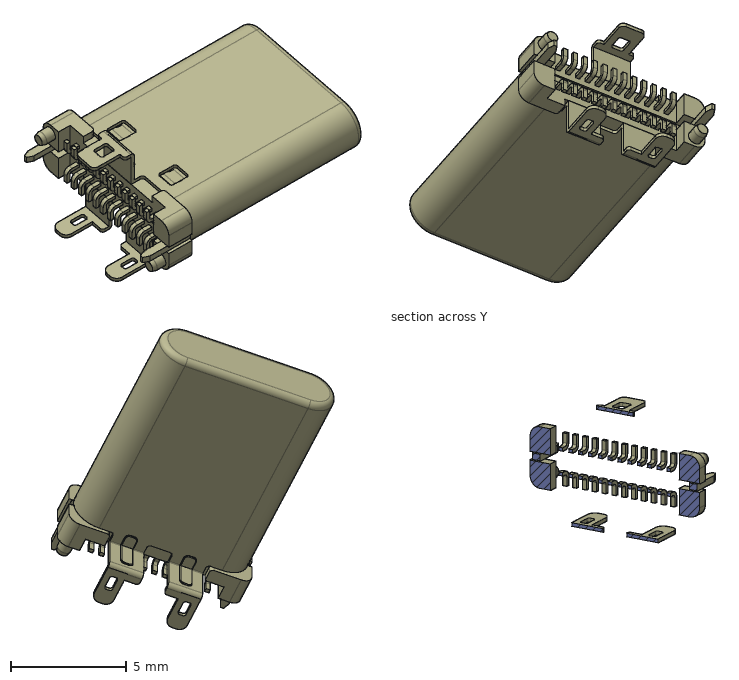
import cadquery as cq


shell_length = 9.78
shell_width = 8.24
shell_half_height = 1.21
shell_wall = 0.17
mouth_fillet = 0.28

window_width = 0.93
window_near_y = 0.52
window_far_y = 1.52
window_corner = 0.12
window_x = 1.78
tooth_width = 0.79
tooth_near_y = 0.58
tooth_flat_end_y = 0.78
tooth_far_y = 1.36
tooth_rise = 0.11

housing_width = 8.66
housing_half_height = 1.42
housing_corner = 0.52
housing_depth = 1.31
rail_depth = 0.65
foot_inner_x = 3.27
recess_half_width = 2.37
recess_corner = 0.16
rail_half_height = shell_half_height - shell_wall

slot_height = 0.38
slot_floor_y = -0.58
blade_thickness = 0.32
blade_inner_x = 3.79
blade_outer_x = 4.2
blade_taper = 0.31
blade_tip_width = 0.15
tip_y = shell_length - 12.35

contact_count = 12
contact_row_span = 5.5
contact_pitch = contact_row_span / (contact_count - 1)
contact_width = 0.21
contact_thickness = 0.17
contact_bend = 0.3
contact_tip_z = 1.21
contact_root_z = 0.48
contact_end_y = -1.35

peg_x = 3.8
peg_z = 0.94
peg_radius = 0.32
peg_length = 0.69
peg_tip_length = 0.21
peg_tip_inset = 0.06

tab_half_height = 2.88
tab_thickness = 0.19
tab_bend = 0.21
tab_base_fillet = 0.02
tab_root_y = -1.04
tab_root_corner = 0.15
tab_back_y = -0.67
tab_front_y = tab_back_y + tab_thickness
tab_slot_near_y = -1.05
tab_slot_far_y = -1.79
tab_slot_corner = 0.11
top_root_width = 1.88
top_blade_width = 1.26
top_tip_y = -2.52
top_tip_corner = 0.25
top_slot_width = 0.58
low_root_inner_x = 0.59
low_root_outer_x = 2.2
low_root_width = low_root_outer_x - low_root_inner_x
low_root_x = (low_root_inner_x + low_root_outer_x) / 2
low_blade_width = 0.93
low_blade_x = low_root_outer_x - low_blade_width / 2
low_tip_corner = 0.37
low_slot_width = 0.36

rib_width = 0.59
rib_height = 0.05
rib_end_y = 0.17
rib_end_corner = 0.21
rib_top_z = 2.48
rib_edge_chamfer = 0.04


def block(x0, x1, y0, y1, z0, z1):
    """Box between two opposite corners."""
    return cq.Workplane("XY").box(x1 - x0, y1 - y0, z1 - z0, centered=False).translate((x0, y0, z0))


def both_sides(shape):
    """The shape joined with its mirror image across X = 0."""
    return shape.union(shape.mirror("YZ"))


def top_and_bottom(shape):
    """The shape joined with its mirror image across Z = 0."""
    return shape.union(shape.mirror("XY"))


def make_shell():
    body = cq.Workplane("XZ").slot2D(shell_width, 2 * shell_half_height).extrude(-shell_length)
    body = body.faces(">Y").edges().fillet(mouth_fillet)
    half = window_width / 2
    window = block(
        window_x - half, window_x + half, window_near_y, window_far_y, rail_half_height, shell_half_height
    )
    window = window.edges("|Z").fillet(window_corner)
    return body.cut(both_sides(window)).union(both_sides(make_tooth()))


def make_tooth():
    """Latch tooth in a window, ramped down towards the mouth."""
    crest_z = rail_half_height + tooth_rise
    return (
        cq.Workplane("YZ")
        .moveTo(tooth_near_y, rail_half_height)
        .lineTo(tooth_near_y, crest_z)
        .lineTo(tooth_flat_end_y, crest_z)
        .lineTo(tooth_far_y, rail_half_height)
        .close()
        .extrude(tooth_width / 2, both=True)
        .translate((window_x, 0, 0))
    )


def make_housing():
    half_width = housing_width / 2
    body = (
        cq.Workplane("XZ")
        .rect(housing_width, 2 * housing_half_height)
        .extrude(housing_depth)
        .edges("|Y")
        .fillet(housing_corner)
    )
    between_feet = block(
        -foot_inner_x, foot_inner_x, -housing_depth, -rail_depth, -housing_half_height, housing_half_height
    )
    body = body.cut(between_feet)
    recess = block(
        -recess_half_width, recess_half_width, -rail_depth, 0, rail_half_height, housing_half_height
    )
    lug_round = (
        cq.Workplane("XY")
        .moveTo(recess_half_width, 0)
        .lineTo(recess_half_width + recess_corner, 0)
        .radiusArc((recess_half_width, -recess_corner), -recess_corner)
        .close()
        .extrude(housing_half_height - rail_half_height)
        .translate((0, 0, rail_half_height))
    )
    body = body.cut(top_and_bottom(recess.union(both_sides(lug_round))))
    slot_z = slot_height / 2
    slot = block(-half_width, half_width, -housing_depth, slot_floor_y, -slot_z, slot_z)
    end_notch = block(blade_inner_x, half_width, -housing_depth, 0, -slot_z, slot_z)
    return body.cut(slot).cut(both_sides(end_notch))


def make_guide_blade():
    middle_x = (blade_inner_x + blade_outer_x) / 2
    return (
        cq.Workplane("XY")
        .moveTo(blade_inner_x, 0)
        .lineTo(blade_inner_x, tip_y + blade_taper)
        .lineTo(middle_x - blade_tip_width / 2, tip_y)
        .lineTo(middle_x + blade_tip_width / 2, tip_y)
        .lineTo(blade_outer_x, tip_y + blade_taper)
        .lineTo(blade_outer_x, 0)
        .close()
        .extrude(blade_thickness / 2, both=True)
    )


def make_contact_row():
    """Upper row of contact tails, bent up behind the rail."""
    inner_bend = contact_bend - contact_thickness
    tail = (
        cq.Workplane("YZ")
        .moveTo(-rail_depth, contact_root_z)
        .lineTo(contact_end_y + contact_bend, contact_root_z)
        .radiusArc((contact_end_y, contact_root_z + contact_bend), contact_bend)
        .lineTo(contact_end_y, contact_tip_z)
        .lineTo(contact_end_y + contact_thickness, contact_tip_z)
        .lineTo(contact_end_y + contact_thickness, contact_root_z + contact_bend)
        .radiusArc((contact_end_y + contact_bend, contact_root_z + contact_thickness), -inner_bend)
        .lineTo(-rail_depth, contact_root_z + contact_thickness)
        .close()
        .extrude(contact_width / 2, both=True)
    )
    row = cq.Workplane("XY")
    for index in range(contact_count):
        x = (index - (contact_count - 1) / 2) * contact_pitch
        row = row.add(tail.translate((x, 0, 0)))
    return row.combine()


def make_peg(x, z):
    peg = cq.Workplane("XZ").circle(peg_radius).extrude(peg_length)
    peg = peg.faces("<Y").chamfer(peg_tip_length, peg_tip_inset)
    return peg.translate((x, -housing_depth, z))


def make_tab(root_x, root_width, blade_x, blade_width, blade_tip_y, tip_corner, slot_width):
    """Upward solder tab: tongue off the shell, upright plate, and bent foot with a slot."""
    x0 = root_x - root_width / 2
    x1 = root_x + root_width / 2
    foot_z = tab_half_height - tab_thickness
    tongue = (
        cq.Workplane("XY")
        .moveTo(x0 - recess_corner, 0)
        .radiusArc((x0, -recess_corner), recess_corner)
        .lineTo(x0, tab_back_y)
        .lineTo(x1, tab_back_y)
        .lineTo(x1, -recess_corner)
        .radiusArc((x1 + recess_corner, 0), recess_corner)
        .close()
        .extrude(shell_wall)
        .translate((0, 0, rail_half_height))
    )
    upright = block(x0, x1, tab_back_y, tab_front_y, rail_half_height, tab_half_height)
    base_fillet = (
        cq.Workplane("YZ")
        .moveTo(tab_front_y, shell_half_height)
        .lineTo(tab_front_y, shell_half_height + tab_base_fillet)
        .radiusArc((tab_front_y + tab_base_fillet, shell_half_height), -tab_base_fillet)
        .close()
        .extrude(root_width / 2, both=True)
        .translate((root_x, 0, 0))
    )
    root = block(x0, x1, tab_root_y, tab_front_y, foot_z, tab_half_height)
    root = root.edges("|Z and <Y").fillet(tab_root_corner)
    bent = upright.union(root).edges("|X and >Y and >Z").fillet(tab_bend)
    half_blade = blade_width / 2
    foot = block(
        blade_x - half_blade, blade_x + half_blade, blade_tip_y, tab_back_y, foot_z, tab_half_height
    )
    foot = foot.edges("|Z and <Y").fillet(tip_corner)
    half_slot = slot_width / 2
    slot = block(
        blade_x - half_slot, blade_x + half_slot, tab_slot_far_y, tab_slot_near_y, foot_z, tab_half_height
    )
    slot = slot.edges("|Z").fillet(tab_slot_corner)
    return tongue.union(bent).union(base_fillet).union(foot).cut(slot).union(make_rib(root_x))


def make_rib(x):
    """Shallow rib on the shell that runs on up the tab plate."""
    x0 = x - rib_width / 2
    x1 = x + rib_width / 2
    rib_z = shell_half_height + rib_height
    flat = block(x0, x1, tab_front_y, rib_end_y, rail_half_height, rib_z)
    flat = flat.edges("|Z and >Y").fillet(rib_end_corner)
    flat = flat.faces(">Z").edges("not <Y").chamfer(rib_edge_chamfer)
    upright = block(x0, x1, tab_back_y, tab_front_y + rib_height, rail_half_height, rib_top_z)
    upright = upright.edges("|Y and >Z").fillet(rib_end_corner)
    upright = upright.faces(">Y").edges("not <Z").chamfer(rib_edge_chamfer)
    return flat.union(upright)


top_tab = make_tab(0, top_root_width, 0, top_blade_width, top_tip_y, top_tip_corner, top_slot_width)
low_tab = make_tab(
    low_root_x, low_root_width, low_blade_x, low_blade_width, tip_y, low_tip_corner, low_slot_width
).mirror("XY")

result = (
    make_shell()
    .union(make_housing())
    .union(both_sides(make_guide_blade()))
    .union(top_and_bottom(make_contact_row()))
    .union(make_peg(-peg_x, peg_z))
    .union(make_peg(peg_x, -peg_z))
    .union(top_tab)
    .union(both_sides(low_tab))
)